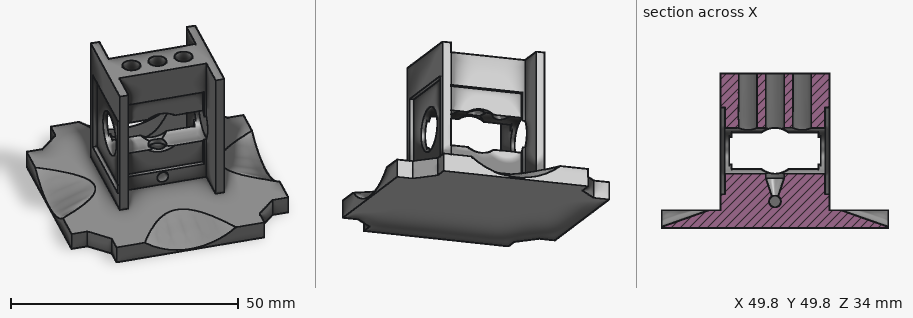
import cadquery as cq

base_size = 49.8
base_thickness = 4.0
overall_height = 34.0
notch_depth = 7.9
notch_straight = 3.65

tower_width = 22.0
tower_length = 24.0
flange_thickness = 2.0
web_thickness = 8.0
tower_height = overall_height - base_thickness

axis_height = overall_height / 2
bore_diameter = 10.0
seat_size = 19.0
seat_depth = 1.0

pin_diameter = 4.0
pin_pitch = 6.0
pin_cone_top = 10.95
pin_cone_height = 6.0

cross_hole_diameter = 2.55
cross_hole_height = 5.9

relief_floor = 0.3
relief_reach = 10.4

half_base = base_size / 2
turns = (0, 90, 180, 270)


def box_on(height, x_size, y_size, z_size):
    """Box centred on the Z axis with its underside at the given height."""
    box = cq.Workplane("XY").box(x_size, y_size, z_size, centered=(True, True, False))
    return box.translate((0, 0, height))


def turned(shape, angle):
    return shape.rotate((0, 0, 0), (0, 0, 1), angle)


def corner_notch():
    """Square corner cut whose inner corner is bridged by a diagonal."""
    inner = half_base - notch_depth
    diagonal = half_base - notch_straight
    outline = [
        (half_base, half_base),
        (inner, half_base),
        (inner, diagonal),
        (diagonal, inner),
        (half_base, inner),
    ]
    return cq.Workplane("XY").polyline(outline).close().extrude(base_thickness)


def edge_relief():
    """Cone at the -Y edge that narrows towards the tower."""
    outer_radius = axis_height - relief_floor
    inner_radius = axis_height - base_thickness
    profile = [
        (0, -half_base),
        (outer_radius, -half_base),
        (inner_radius, relief_reach - half_base),
        (0, relief_reach - half_base),
    ]
    cone = cq.Workplane("XY").polyline(profile).close().revolve(360, (0, 0), (0, 1))
    return cone.translate((0, 0, axis_height))


def make_base():
    base = box_on(0, base_size, base_size, base_thickness)
    for angle in turns:
        base = base.cut(turned(corner_notch(), angle))
        base = base.cut(turned(edge_relief(), angle))
    return base


def make_tower():
    tower = box_on(base_thickness, web_thickness, tower_length, tower_height)
    flange_y = (tower_length - flange_thickness) / 2
    flange = box_on(base_thickness, tower_width, flange_thickness, tower_height)
    for side in (-1, 1):
        tower = tower.union(flange.translate((0, side * flange_y, 0)))
    return tower


def seats():
    """Shallow square recesses on both web faces and both flange faces."""
    seat_bottom = axis_height - seat_size / 2
    web_seat = box_on(seat_bottom, seat_depth, seat_size, seat_size)
    flange_seat = box_on(seat_bottom, seat_size, seat_depth, seat_size)
    web_x = (web_thickness - seat_depth) / 2
    flange_y = (tower_length - seat_depth) / 2
    cutters = web_seat.translate((web_x, 0, 0))
    cutters = cutters.union(web_seat.translate((-web_x, 0, 0)))
    for side in (-1, 1):
        cutters = cutters.union(flange_seat.translate((0, side * flange_y, 0)))
    return cutters


def crossed_bores():
    bores = None
    for plane in ("XZ", "YZ"):
        bore = cq.Workplane(plane).center(0, axis_height).circle(bore_diameter / 2)
        bore = bore.extrude(tower_length, both=True)
        bores = bore if bores is None else bores.union(bore)
    return bores


def outer_pin_hole(y):
    """Vertical hole that opens into the bore along Y."""
    hole = cq.Workplane("XY", origin=(0, y, axis_height)).circle(pin_diameter / 2)
    return hole.extrude(overall_height - axis_height)


def centre_pin_hole():
    """Vertical hole through the bores, ending in a steep cone whose tip opens into the cross hole."""
    radius = pin_diameter / 2
    profile = [
        (0, pin_cone_top - pin_cone_height),
        (radius, pin_cone_top),
        (radius, overall_height),
        (0, overall_height),
    ]
    return cq.Workplane("XZ").polyline(profile).close().revolve(360, (0, 0), (0, 1))


def cross_hole():
    """Blind hole from the +X face of the web, ending just past the centre hole."""
    radius = cross_hole_diameter / 2
    hole = cq.Workplane("YZ", origin=(-radius, 0, cross_hole_height)).circle(radius)
    return hole.extrude(radius + web_thickness / 2)


result = make_base().union(make_tower()).cut(seats()).cut(crossed_bores())
for pin_y in (-pin_pitch, pin_pitch):
    result = result.cut(outer_pin_hole(pin_y))
result = result.cut(centre_pin_hole())
result = result.cut(cross_hole())